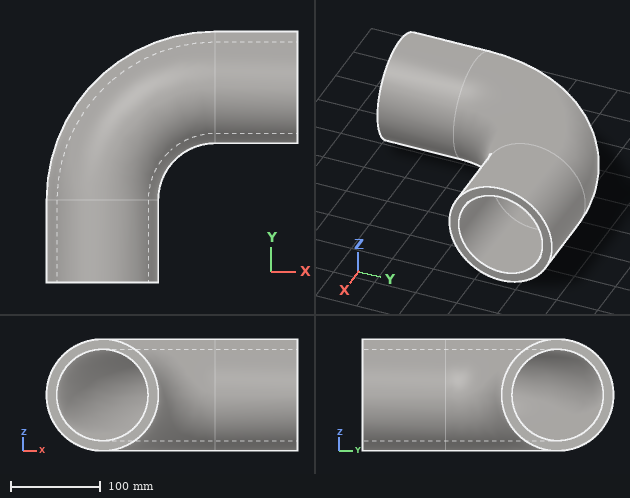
import cadquery as cq
import math

overall_length = 280.5
outer_diameter = 125.0
bore_diameter = 102.0
leg_length = 92.3

bend_radius = overall_length - leg_length - outer_diameter / 2


def elbow_solid(diameter):
    """Solid rod along the centreline: a leg along Y, a quarter bend, a leg along X.

    The centre of the bend is at the origin.
    """
    middle = bend_radius * math.sqrt(0.5)
    centreline = (
        cq.Workplane("XY")
        .moveTo(-bend_radius, -leg_length)
        .lineTo(-bend_radius, 0)
        .threePointArc((-middle, middle), (0, bend_radius))
        .lineTo(leg_length, bend_radius)
    )
    return (
        cq.Workplane("XZ", origin=(-bend_radius, -leg_length, 0))
        .circle(diameter / 2)
        .sweep(centreline)
    )


result = elbow_solid(outer_diameter).cut(elbow_solid(bore_diameter))